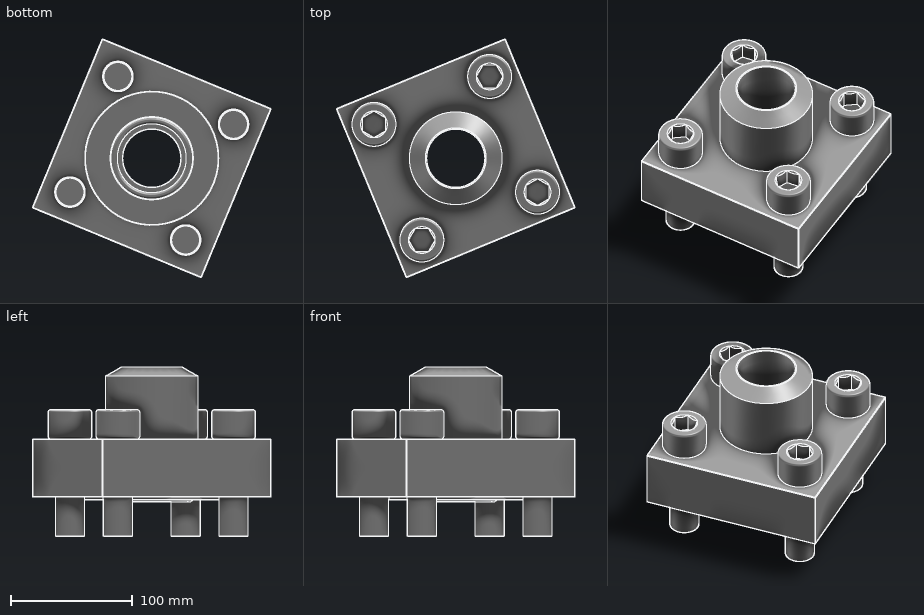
import cadquery as cq
import math


overall_width = 195.6
plate_turn = 22.5
plate_thickness = 47.7
edge_break = 0.5
turn = math.radians(plate_turn)
plate_side = (overall_width + 2 * edge_break * math.sin(turn)) / (math.cos(turn) + math.sin(turn))

face_diameter = 110.0
face_height = 2.3
face_bottom = -plate_thickness - face_height

spigot_diameter = 76.1
spigot_height = 59.0
spigot_rim_diameter = 49.9
weld_bevel_angle = 30.0
weld_bevel_run = (spigot_diameter - spigot_rim_diameter) / 2
weld_bevel_height = weld_bevel_run * math.tan(math.radians(weld_bevel_angle))
bore_diameter = 47.7
bore_bottom_diameter = 48.0
straight_bore_length = 29.3

ring_inner_diameter = 56.5
ring_cord_diameter = 5.3
groove_outer_diameter = 68.3
groove_depth = 3.7
ring_centre_radius = (ring_inner_diameter + ring_cord_diameter) / 2
ring_centre_height = face_bottom + groove_depth - ring_cord_diameter / 2

screw_count = 4
screw_circle_radius = 72.5
screw_hole_diameter = 25.0
shank_diameter = 24.0
shank_length = 80.0
shank_tip_chamfer = 0.5
head_diameter = 36.0
head_height = shank_diameter
head_fillet = 2.3
socket_width = 19.0
socket_depth = 14.7
socket_corner_diameter = socket_width / math.cos(math.radians(30))
socket_cone_depth = (socket_corner_diameter - socket_width) / 2

screw_spacing = 360 / screw_count
screw_turns = [index * screw_spacing for index in range(screw_count)]


def screw_position(screw_turn):
    """Centre of a screw; each screw lies on a diagonal of the turned plate."""
    angle = math.radians(plate_turn + 45 + screw_turn)
    return (screw_circle_radius * math.cos(angle), screw_circle_radius * math.sin(angle), 0)


def make_plate():
    plate = cq.Workplane("XY").rect(plate_side, plate_side).extrude(-plate_thickness)
    plate = plate.edges().chamfer(edge_break)
    return plate.rotate((0, 0, 0), (0, 0, 1), plate_turn)


def make_spigot():
    """Pipe stub with a bevelled top for welding."""
    return (
        cq.Workplane("XZ")
        .lineTo(spigot_diameter / 2, 0)
        .lineTo(spigot_diameter / 2, spigot_height - weld_bevel_height)
        .lineTo(spigot_rim_diameter / 2, spigot_height)
        .lineTo(0, spigot_height)
        .close()
        .revolve(360, (0, 0), (0, 1))
    )


def make_bore():
    """Bore through the spigot and the plate: straight at the top, then widening towards the bottom."""
    taper_top = spigot_height - straight_bore_length
    return (
        cq.Workplane("XZ")
        .moveTo(0, spigot_height)
        .lineTo(bore_diameter / 2, spigot_height)
        .lineTo(bore_diameter / 2, taper_top)
        .lineTo(bore_bottom_diameter / 2, face_bottom)
        .lineTo(0, face_bottom)
        .close()
        .revolve(360, (0, 0), (0, 1))
    )


def make_groove():
    return (
        cq.Workplane("XY", origin=(0, 0, face_bottom))
        .circle(groove_outer_diameter / 2)
        .circle(ring_inner_diameter / 2)
        .extrude(groove_depth)
    )


def make_flange():
    sealing_face = (
        cq.Workplane("XY", origin=(0, 0, -plate_thickness))
        .circle(face_diameter / 2)
        .extrude(-face_height)
        .faces("<Z")
        .chamfer(edge_break)
    )
    screw_holes = (
        cq.Workplane("XY")
        .pushPoints([screw_position(screw_turn) for screw_turn in screw_turns])
        .circle(screw_hole_diameter / 2)
        .extrude(-plate_thickness)
    )
    flange = make_plate().union(sealing_face).union(make_spigot())
    return flange.cut(make_bore()).cut(make_groove()).cut(screw_holes)


def make_o_ring():
    """O-ring resting on the groove's floor and standing proud of the sealing face."""
    return (
        cq.Workplane("XZ")
        .center(ring_centre_radius, ring_centre_height)
        .circle(ring_cord_diameter / 2)
        .revolve(360, (-ring_centre_radius, 0), (-ring_centre_radius, 1))
    )


def make_socket():
    """Hexagonal socket whose mouth is countersunk at 45 degrees to the corners of the hexagon."""
    hexagon = (
        cq.Workplane("XY", origin=(0, 0, head_height))
        .polygon(6, socket_corner_diameter)
        .extrude(-socket_depth)
    )
    countersink = (
        cq.Workplane("XY", origin=(0, 0, head_height))
        .circle(socket_corner_diameter / 2)
        .extrude(-socket_cone_depth, taper=45)
    )
    return hexagon.union(countersink)


def make_screw(screw_turn):
    head = cq.Workplane("XY").circle(head_diameter / 2).extrude(head_height).edges().fillet(head_fillet)
    shank = (
        cq.Workplane("XY")
        .circle(shank_diameter / 2)
        .extrude(-shank_length)
        .faces("<Z")
        .chamfer(shank_tip_chamfer)
    )
    screw = head.union(shank).cut(make_socket())
    return screw.rotate((0, 0, 0), (0, 0, 1), screw_turn).translate(screw_position(screw_turn))


flange = make_flange()
o_ring = make_o_ring()
screws = [make_screw(screw_turn) for screw_turn in screw_turns]

result = cq.Compound.makeCompound([flange.val(), o_ring.val(), *[screw.val() for screw in screws]])